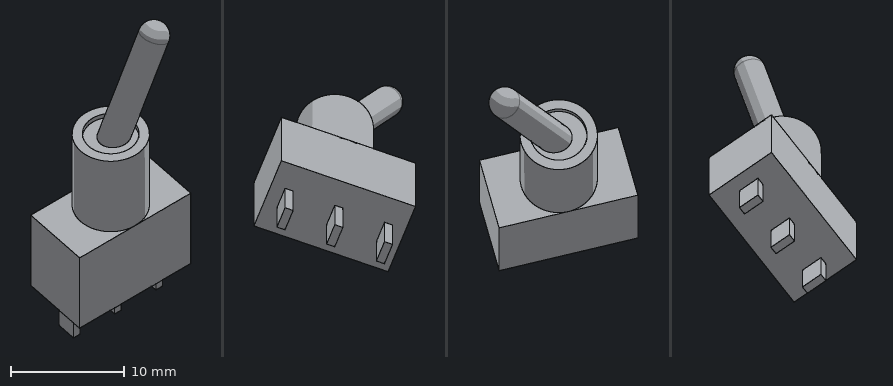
import cadquery as cq
import math

body_width = 6.86
body_length = 12.70
body_height = 8.89

bushing_diameter = body_width
bushing_height = 8.89
recess_diameter = 5.0
recess_depth = 0.5

lever_diameter = 2.87
lever_tilt = 25.0
lever_pivot_depth = 1.35
lever_length = 11.65

pin_count = 3
pin_pitch = 4.70
pin_width = 2.03
pin_thickness = 0.76
pin_length = 3.96

bushing_top = body_height + bushing_height


def make_body():
    return cq.Workplane("XY").box(body_width, body_length, body_height, centered=(True, True, False))


def make_bushing():
    bushing = (
        cq.Workplane("XY")
        .workplane(offset=body_height)
        .circle(bushing_diameter / 2)
        .extrude(bushing_height)
    )
    recess = (
        cq.Workplane("XY")
        .workplane(offset=bushing_top)
        .circle(recess_diameter / 2)
        .extrude(-recess_depth)
    )
    return bushing.cut(recess)


def make_lever():
    """Rod from the pivot inside the bushing to the centre of its spherical tip."""
    tilt = math.radians(lever_tilt)
    axis = cq.Vector(0, math.sin(tilt), math.cos(tilt))
    pivot = cq.Vector(0, 0, bushing_top - lever_pivot_depth)
    tip_centre = pivot + axis * lever_length
    rod_plane = cq.Plane(origin=pivot, xDir=(1, 0, 0), normal=axis)
    rod = cq.Workplane(rod_plane).circle(lever_diameter / 2).extrude(lever_length)
    tip = cq.Workplane(cq.Plane(origin=tip_centre, xDir=(1, 0, 0), normal=axis)).sphere(lever_diameter / 2)
    return rod.union(tip)


def make_pin(y_position):
    return (
        cq.Workplane("XY")
        .center(0, y_position)
        .rect(pin_width, pin_thickness)
        .extrude(-pin_length)
    )


result = make_body().union(make_bushing()).union(make_lever())
for index in range(pin_count):
    pin_y = (index - (pin_count - 1) / 2) * pin_pitch
    result = result.union(make_pin(pin_y))